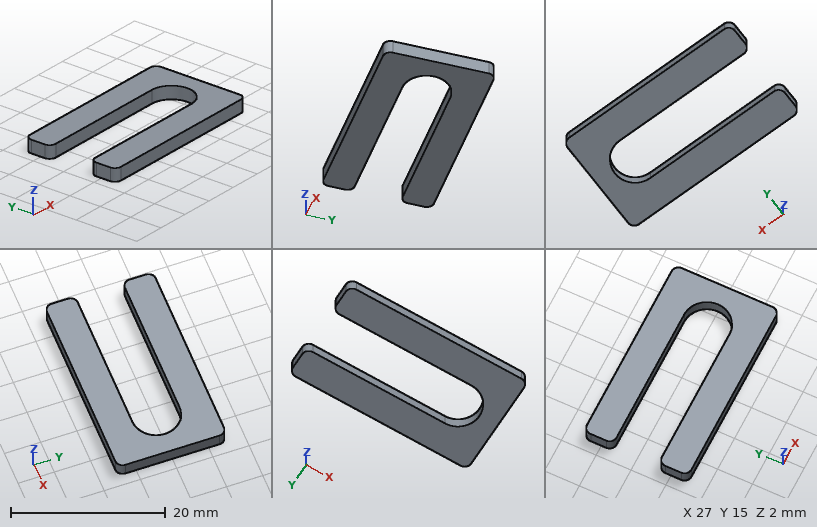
import cadquery as cq

length = 27.0
width = 15.0
thickness = 2.0
slot_width = 6.5
slot_center_depth = 21.0
corner_radius = 1.0

slot_radius = slot_width / 2
open_end_x = -length / 2
slot_center_x = open_end_x + slot_center_depth


def plate():
    """Flat rectangular plate standing on the XY plane."""
    return cq.Workplane("XY").box(length, width, thickness, centered=(True, True, False))


def slot():
    """Round-ended slot, open towards -X."""
    return (
        cq.Workplane("XY")
        .moveTo(open_end_x, -slot_radius)
        .lineTo(slot_center_x, -slot_radius)
        .threePointArc((slot_center_x + slot_radius, 0), (slot_center_x, slot_radius))
        .lineTo(open_end_x, slot_radius)
        .close()
        .extrude(thickness)
    )


def round_corners(body):
    """Round the vertical edges at both ends, including the slot mouth."""
    closed_end = body.faces(">X").edges("|Z")
    open_end = body.faces("<X").edges("|Z")
    return closed_end.add(open_end).fillet(corner_radius)


result = round_corners(plate().cut(slot()))